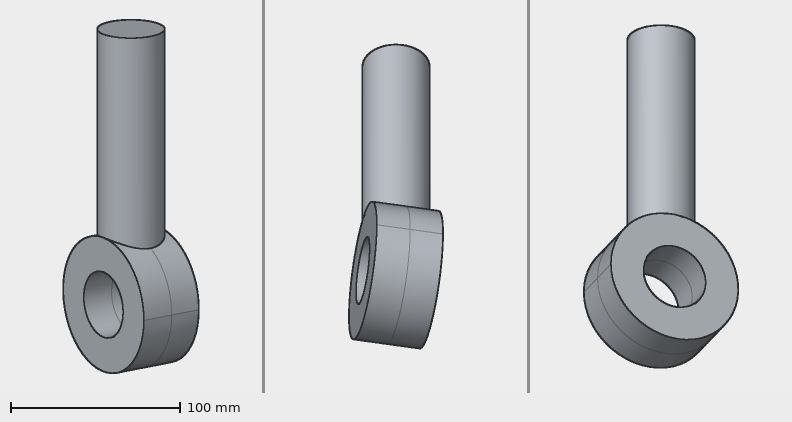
import cadquery as cq

overall_height = 207.0
ring_diameter = 82.1
ring_width = 40.0
bore_diameter = 40.0
shank_diameter = ring_width

ring_radius = ring_diameter / 2
shank_top = overall_height - ring_radius


def cross_cylinder(diameter):
    """Cylinder along Y, as wide as the ring and centred on the origin."""
    return cq.Workplane("XZ").circle(diameter / 2).extrude(ring_width / 2, both=True)


ring = cross_cylinder(ring_diameter)
shank = cq.Workplane("XY").circle(shank_diameter / 2).extrude(shank_top)
bore = cross_cylinder(bore_diameter)

result = ring.union(shank).cut(bore)